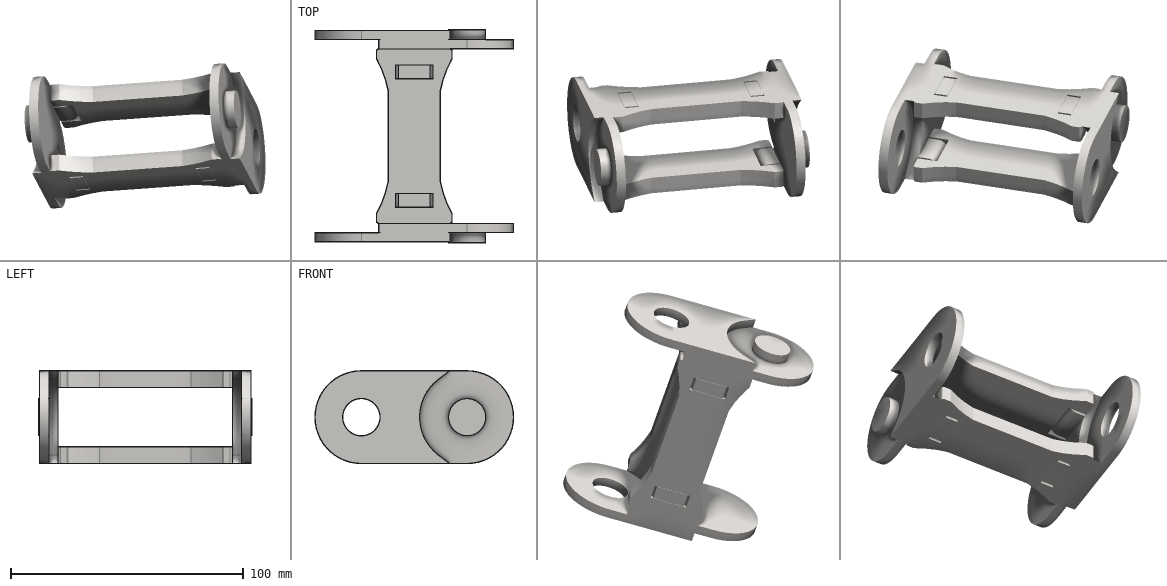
import cadquery as cq
import math

overall_width = 91.8
pivot_spacing = 45.5
lobe_radius = 20.0
hinge_diameter = 16.0
pin_overhang = 0.4
end_clearance_radius = 20.5
end_tangent_angle = 53.0

bar_length = 75.1
bar_thickness = 7.3
bar_end_width = 32.7
bar_waist_width = 22.6
bar_corner_radius = 1.1
shoulder_y = 33.4
shoulder_fillet = 0.7
waist_y = 19.6
flank_radius = 45.9

foot_width = 16.0
foot_outer_y = 30.6
foot_inner_y = 24.8
foot_notch_width = 1.1
foot_notch_depth = 1.8
foot_gap = 0.1
arm_thickness = 4.2
straight_arm_width = 18.2
round_arm_width = 16.0
round_groove_width = 18.2
round_arm_end_y = 29.1
round_arm_gap = 0.3

pivot_x = pivot_spacing / 2
link_face_y = bar_length / 2
link_outer_y = overall_width / 2 - pin_overhang
lobe_thickness = (link_outer_y - link_face_y) / 2
link_mid_y = link_face_y + lobe_thickness
bar_inner_z = lobe_radius - bar_thickness
foot_base_z = bar_inner_z + arm_thickness


def block(width, y_range, z_range):
    """Box centred on X between two Y values and two Z values."""
    y_start, y_end = y_range
    z_start, z_end = z_range
    return (
        cq.Workplane("XY", origin=(0, (y_start + y_end) / 2, z_start))
        .rect(width, y_end - y_start)
        .extrude(z_end - z_start)
    )


def hinge_disc(x, length):
    """Cylinder along +Y that starts at the middle plane of the link."""
    return cq.Workplane("XZ", origin=(x, link_mid_y, 0)).circle(hinge_diameter / 2).extrude(-length)


def lobe(y_start):
    """Plate that is round at -X and hollowed at +X to clear the neighbouring link."""
    angle = math.radians(end_tangent_angle)
    tangent_x = pivot_x - end_clearance_radius * math.cos(angle)
    tangent_z = end_clearance_radius * math.sin(angle)
    tip_x = tangent_x + (lobe_radius - tangent_z) * math.tan(angle)
    return (
        cq.Workplane("XZ", origin=(0, y_start, 0))
        .moveTo(-pivot_x, lobe_radius)
        .lineTo(tip_x, lobe_radius)
        .lineTo(tangent_x, tangent_z)
        .threePointArc((pivot_x - end_clearance_radius, 0), (tangent_x, -tangent_z))
        .lineTo(tip_x, -lobe_radius)
        .lineTo(-pivot_x, -lobe_radius)
        .threePointArc((-pivot_x - lobe_radius, 0), (-pivot_x, lobe_radius))
        .close()
        .extrude(-lobe_thickness)
    )


def foot():
    """Foot of a tab in the upper bar, flush with the outer face and notched at both ends."""
    y_range = (foot_inner_y, foot_outer_y)
    notch_z = lobe_radius - foot_notch_depth
    base = block(foot_width, y_range, (foot_base_z, notch_z))
    head = block(foot_width - 2 * foot_notch_width, y_range, (notch_z, lobe_radius))
    return base.union(head)


def straight_arm():
    """Square arm along the inner face of the upper bar; its groove has the same shape."""
    return block(straight_arm_width, (foot_inner_y, link_face_y), (bar_inner_z, foot_base_z))


def straight_tab():
    """Tab with a square arm that fills its groove."""
    return straight_arm().union(foot())


def round_tab():
    """Tab whose arm has a rounded end."""
    arm = (
        cq.Workplane("YZ", origin=(-round_arm_width / 2, 0, 0))
        .moveTo(link_face_y, bar_inner_z)
        .lineTo(link_face_y, foot_base_z)
        .lineTo(round_arm_end_y, foot_base_z)
        .radiusArc((round_arm_end_y + arm_thickness, bar_inner_z), -arm_thickness)
        .close()
        .extrude(round_arm_width)
    )
    return arm.union(foot())


def make_link():
    """Link on the +Y side, with a straight tab at the top and a rounded tab at the bottom."""
    outer_lobe = lobe(link_mid_y).cut(hinge_disc(-pivot_x, lobe_thickness))
    inner_lobe = lobe(link_face_y).mirror("YZ")
    pin = hinge_disc(pivot_x, lobe_thickness + pin_overhang)
    link = inner_lobe.union(outer_lobe).union(pin)
    return link.union(straight_tab()).union(round_tab().mirror("XY")).solids()


def upright_edges(body, y):
    """Vertical edges of the upper bar at one distance y from the middle, at both ends."""
    middle_z = lobe_radius - bar_thickness / 2
    reach = bar_end_width
    tolerance = 0.1
    ends = [
        cq.selectors.BoxSelector(
            (-reach, side * y - tolerance, middle_z - tolerance),
            (reach, side * y + tolerance, middle_z + tolerance),
        )
        for side in (-1, 1)
    ]
    return body.edges("|Z").edges(ends[0] + ends[1])


def bar_body():
    """Bar with a narrow waist and hollow flanks that flare to both ends."""
    end_x = bar_end_width / 2
    waist_x = bar_waist_width / 2
    body = (
        cq.Workplane("XY", origin=(0, 0, bar_inner_z))
        .moveTo(end_x, link_face_y)
        .lineTo(end_x, shoulder_y)
        .radiusArc((waist_x, waist_y), -flank_radius)
        .lineTo(waist_x, -waist_y)
        .radiusArc((end_x, -shoulder_y), -flank_radius)
        .lineTo(end_x, -link_face_y)
        .lineTo(-end_x, -link_face_y)
        .lineTo(-end_x, -shoulder_y)
        .radiusArc((-waist_x, -waist_y), -flank_radius)
        .lineTo(-waist_x, waist_y)
        .radiusArc((-end_x, shoulder_y), -flank_radius)
        .lineTo(-end_x, link_face_y)
        .close()
        .extrude(bar_thickness)
    )
    body = upright_edges(body, link_face_y).fillet(bar_corner_radius)
    return upright_edges(body, shoulder_y).fillet(shoulder_fillet)


def foot_window():
    """Window for a foot at the +Y end of the upper bar."""
    y_range = (foot_inner_y - foot_gap, foot_outer_y + foot_gap)
    return block(foot_width, y_range, (foot_base_z, lobe_radius))


def round_arm_groove():
    """Groove for a rounded arm at the +Y end of the upper bar."""
    y_range = (round_arm_end_y - round_arm_gap, link_face_y)
    return block(round_groove_width, y_range, (bar_inner_z, foot_base_z))


def make_bar():
    """Upper bar, slotted for a straight tab at its +Y end and a rounded tab at its -Y end."""
    straight_slot = straight_arm().union(foot_window())
    round_slot = round_arm_groove().union(foot_window()).mirror("XZ")
    return bar_body().cut(straight_slot).cut(round_slot).solids()


def two_around_x(body):
    """The body and a copy of it turned half a turn about the X axis."""
    return [body.rotate((0, 0, 0), (1, 0, 0), angle).val() for angle in (0, 180)]


links = two_around_x(make_link())
bars = two_around_x(make_bar())
result = cq.Compound.makeCompound([*links, *bars])